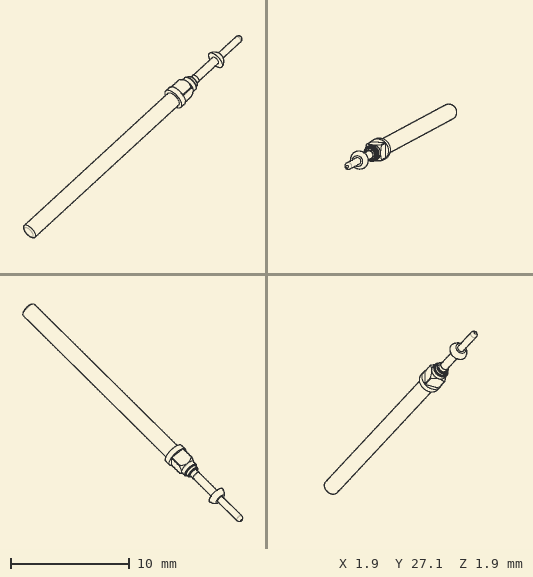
import cadquery as cq

LENGTH = 27.1

BARREL_R = 0.68
BARREL_END_R = 0.5
BARREL_MID_R = 0.6
FLANGE_R = 0.95
SQUARE_CORNER_R = 0.92
NECK_R = 0.55
SLEEVE_R = 0.38
SHAFT_R = 0.35
PIN_R = 0.3
PIN_END_R = 0.1
HEAD_R = 0.79
HEAD_FRONT_R = 0.45
HEAD_MID_R = 0.68

BARREL_LENGTH = 18.48
FLANGE_LENGTH = 0.5
SQUARE_LENGTH = 1.3
COLLAR_LENGTH = 0.43
NECK_LENGTH = 0.3
SLEEVE_LENGTH = 0.35
HEAD_LENGTH = 0.51
PIN_LENGTH = 2.7

BARREL_END_LENGTH = 0.1
BARREL_MID_LENGTH = 0.038
TIP_ROUND_LENGTH = 0.3
COLLAR_CHAMFER = 0.05
NECK_CHAMFER = 0.05
HEAD_MID_LENGTH = 0.3

SQUARE_WIDTH = 2 * BARREL_R

flange_y = BARREL_LENGTH
square_y = flange_y + FLANGE_LENGTH
collar_y = square_y + SQUARE_LENGTH
neck_y = collar_y + COLLAR_LENGTH
sleeve_y = neck_y + NECK_LENGTH
shaft_y = sleeve_y + SLEEVE_LENGTH
pin_y = LENGTH - PIN_LENGTH
head_y = pin_y - HEAD_LENGTH


def cylinder(radius, start, end):
    """Round section about the Y axis."""
    return cq.Workplane("XZ", origin=(0, start, 0)).circle(radius).extrude(start - end)


def revolve_about_axis(profile):
    """Turn a closed half profile, drawn as (radius, station), about the Y axis."""
    return profile.close().revolve(360, (0, 0, 0), (0, 1, 0))


def barrel():
    """Long round barrel with a rounded edge at its blunt end."""
    return revolve_about_axis(
        cq.Workplane("XY")
        .lineTo(0, flange_y)
        .lineTo(BARREL_R, flange_y)
        .lineTo(BARREL_R, BARREL_END_LENGTH)
        .threePointArc((BARREL_MID_R, BARREL_MID_LENGTH), (BARREL_END_R, 0))
    )


def square_section():
    """Square drive with turned corners and a 45 degree lead-in towards the collar."""
    lead_in = SQUARE_CORNER_R - BARREL_R
    turned = cylinder(SQUARE_CORNER_R, square_y, collar_y).faces(">Y").chamfer(lead_in)
    square = (
        cq.Workplane("XZ", origin=(0, square_y, 0))
        .rect(SQUARE_WIDTH, SQUARE_WIDTH)
        .extrude(-SQUARE_LENGTH)
    )
    return turned.intersect(square)


def mushroom_head():
    """Domed head with its flat underside facing the barrel."""
    return revolve_about_axis(
        cq.Workplane("XY")
        .moveTo(0, head_y)
        .lineTo(HEAD_R, head_y)
        .threePointArc((HEAD_MID_R, head_y + HEAD_MID_LENGTH), (HEAD_FRONT_R, pin_y))
        .lineTo(0, pin_y)
    )


def tip_pin():
    """Slim contact pin with a rounded end and a small flat tip."""
    shoulder_y = LENGTH - TIP_ROUND_LENGTH
    return revolve_about_axis(
        cq.Workplane("XY")
        .moveTo(0, pin_y)
        .lineTo(PIN_R, pin_y)
        .lineTo(PIN_R, shoulder_y)
        .tangentArcPoint((PIN_END_R, LENGTH), relative=False)
        .lineTo(0, LENGTH)
    )


result = (
    barrel()
    .union(cylinder(FLANGE_R, flange_y, square_y))
    .union(square_section())
    .union(cylinder(BARREL_R, collar_y, neck_y).faces(">Y").chamfer(COLLAR_CHAMFER))
    .union(cylinder(NECK_R, neck_y, sleeve_y).faces(">Y").chamfer(NECK_CHAMFER))
    .union(cylinder(SLEEVE_R, sleeve_y, shaft_y))
    .union(cylinder(SHAFT_R, shaft_y, head_y))
    .union(mushroom_head())
    .union(tip_pin())
)